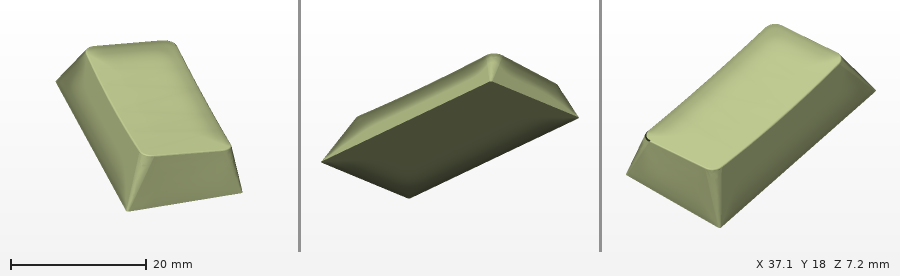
import cadquery as cq
import math

BASE_LENGTH = 37.05
BASE_WIDTH = 18.0
BASE_CORNER_RADIUS = 0.3

TOP_LENGTH = 31.0
TOP_WIDTH = 14.05
TOP_CORNER_RADIUS = 1.8
TOP_CENTER_Y = 1.5
TOP_CENTER_HEIGHT = 6.68
TOP_TILT = 5.4

RIM_DROP = 0.05
DISH_DEPTH = 0.52
DISH_HALF_SPAN = TOP_LENGTH / 2
DISH_RADIUS = (DISH_HALF_SPAN**2 + DISH_DEPTH**2) / (2 * DISH_DEPTH)
DISH_CUT_LENGTH = 2 * BASE_WIDTH

RIM_FILLET = 0.25


def tilted_top_plane():
    """Plane of the body's upper end, with its local X along the part's X."""
    tilt = math.radians(TOP_TILT)
    return cq.Plane(
        origin=(0, TOP_CENTER_Y, TOP_CENTER_HEIGHT),
        xDir=(1, 0, 0),
        normal=(0, math.sin(tilt), math.cos(tilt)),
    )


def rounded_rectangle(length, width, corner_radius):
    """Rectangle with rounded corners, centred on its origin."""
    return cq.Sketch().rect(length, width).vertices().fillet(corner_radius)


def tapered_body(top_plane):
    """Straight-sided body between the base and the smaller, tilted top."""
    base = rounded_rectangle(BASE_LENGTH, BASE_WIDTH, BASE_CORNER_RADIUS)
    top = rounded_rectangle(TOP_LENGTH, TOP_WIDTH, TOP_CORNER_RADIUS)
    placed_top = top.moved(cq.Location(top_plane))
    return cq.Workplane("XY").placeSketch(base, placed_top).loft(ruled=True)


def dish_cutter(top_plane):
    """Large cylinder that cuts deepest along the middle of the top."""
    axis_height = DISH_RADIUS - RIM_DROP - DISH_DEPTH
    section_plane = cq.Plane(
        origin=top_plane.toWorldCoords((0, 0, axis_height)),
        xDir=top_plane.xDir,
        normal=top_plane.yDir,
    )
    section = cq.Workplane(section_plane).circle(DISH_RADIUS)
    return section.extrude(DISH_CUT_LENGTH / 2, both=True)


def keycap():
    """Tapered body with a dished top and a rounded rim."""
    top_plane = tilted_top_plane()
    dished = tapered_body(top_plane).cut(dish_cutter(top_plane))
    return dished.faces("%CYLINDER").edges().fillet(RIM_FILLET)


result = keycap()